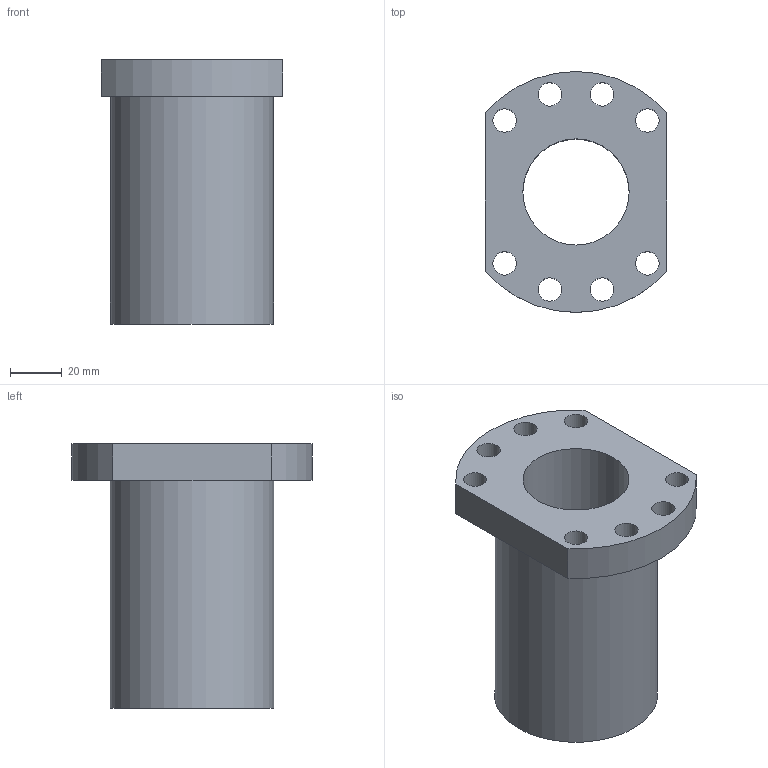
import cadquery as cq

total_length = 102.0
barrel_diameter = 63.0
bore_diameter = 41.0

flange_diameter = 93.0
flange_width = 70.0
flange_thickness = 14.0
barrel_length = total_length - flange_thickness

bolt_circle_radius = 78.0 / 2
mounting_hole_diameter = 9.0
hole_pitch_angle = 30.0
holes_per_group = 4
group_center_angles = (90.0, 270.0)


def make_barrel():
    """Round body standing on the XY plane, up to the flange."""
    return cq.Workplane("XY").circle(barrel_diameter / 2).extrude(barrel_length)


def make_flange():
    """Disc on top of the barrel, trimmed to two flats facing -X and +X."""
    flange_base = cq.Workplane("XY").workplane(offset=barrel_length)
    disc = flange_base.circle(flange_diameter / 2).extrude(flange_thickness)
    band = flange_base.rect(flange_width, flange_diameter).extrude(flange_thickness)
    return disc.intersect(band)


def make_bore():
    """Through bore along the part axis."""
    return cq.Workplane("XY").circle(bore_diameter / 2).extrude(total_length)


def make_mounting_holes(group_center_angle):
    """One group of evenly pitched holes, centered on the given direction."""
    first_angle = group_center_angle - hole_pitch_angle * (holes_per_group - 1) / 2
    return (
        cq.Workplane("XY")
        .workplane(offset=barrel_length)
        .polarArray(bolt_circle_radius, first_angle, hole_pitch_angle, holes_per_group, fill=False)
        .circle(mounting_hole_diameter / 2)
        .extrude(flange_thickness)
    )


result = make_barrel().union(make_flange()).cut(make_bore())
for center_angle in group_center_angles:
    result = result.cut(make_mounting_holes(center_angle))